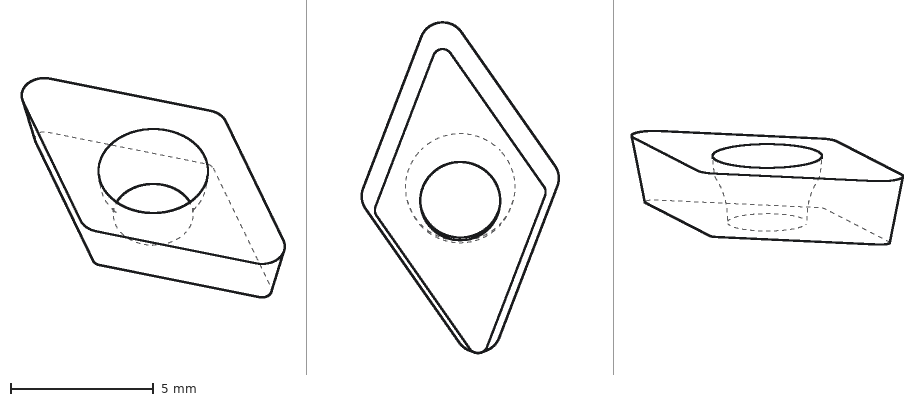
import cadquery as cq
import math

length = 10.73
inscribed_diameter = 6.35
thickness = 2.38
corner_angle = 55.0
relief_angle = 11.0

half_corner_cot = 1 / math.tan(math.radians(corner_angle / 2))
corner_radius = (inscribed_diameter * half_corner_cot - length) / (2 * (half_corner_cot - 1))

bore_diameter = 2.8
mouth_diameter = 3.84
mouth_base_diameter = 3.73
mouth_depth = 0.57
seat_diameter = 3.59
seat_top_depth = 0.79
seat_bottom_depth = 2.18


def make_body():
    """Rounded rhombus, full size on the top face and tapering downward."""
    side = inscribed_diameter / math.sin(math.radians(corner_angle))
    half_height = inscribed_diameter / 2
    slant_run = side * math.cos(math.radians(corner_angle))
    right_x = (side + slant_run) / 2
    inner_x = (side - slant_run) / 2
    outline = (
        cq.Sketch()
        .polygon([
            (-right_x, -half_height),
            (inner_x, -half_height),
            (right_x, half_height),
            (-inner_x, half_height),
            (-right_x, -half_height),
        ])
        .vertices()
        .fillet(corner_radius)
    )
    return (
        cq.Workplane("XY", origin=(0, 0, thickness))
        .placeSketch(outline)
        .extrude(-thickness, taper=relief_angle)
    )


def make_screw_hole():
    """Revolved cutter whose seat is tangent to the bore and to the blend above it."""
    bore_radius = bore_diameter / 2
    return (
        cq.Workplane("XZ")
        .moveTo(0, 0)
        .lineTo(bore_radius, 0)
        .lineTo(bore_radius, thickness - seat_bottom_depth)
        .tangentArcPoint((seat_diameter / 2, thickness - seat_top_depth), relative=False)
        .tangentArcPoint((mouth_base_diameter / 2, thickness - mouth_depth), relative=False)
        .lineTo(mouth_diameter / 2, thickness)
        .lineTo(0, thickness)
        .close()
        .revolve(360, (0, 0, 0), (0, 1, 0))
    )


result = make_body().cut(make_screw_hole())